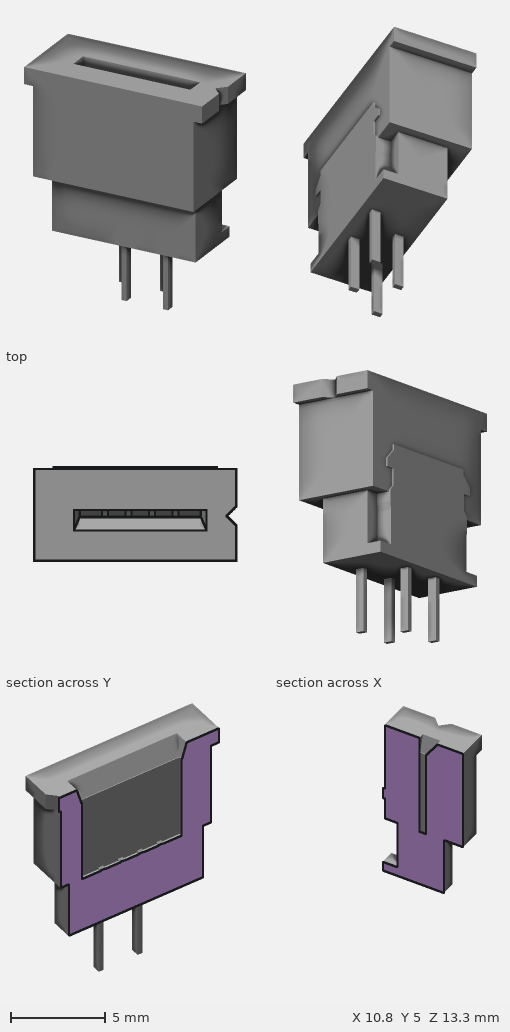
import cadquery as cq
import math


total_height = 13.3
cap_height = 1.0
body_bottom_z = 7.04
base_bottom_z = 3.5

housing_depth = 4.9
cap_width = 10.75
body_width = 9.71
base_width = 8.67
base_front_y = 1.2
back_y = 5.0

notch_y = 2.4
notch_half_width = 0.5
notch_depth = 0.5

plate_thickness = 0.88
foot_height = 0.61
upper_barb_inset = 0.61
upper_barb_slope = 0.59
upper_neck_inset = 1.17
lower_barb_inset = 0.88
lower_neck_inset = 0.93
lower_barb_taper_height = 0.44
plate_top_z = 9.7
upper_barb_top_z = 9.39
upper_barb_bottom_z = 8.35
lower_barb_top_z = 7.42
lower_barb_bottom_z = 6.5

contact_middle_x = 0.27
slot_back_y = 2.7
slot_width = 7.06
slot_depth_y = 1.09
funnel_height = 1.0
channel_ledge = 0.04
channel_width = 6.4
channel_depth_y = 0.35
channel_floor_z = body_bottom_z

contact_count = 4
contact_pitch = 1.25
contact_width = 0.3
pin_depth_y = 0.5
back_pin_y = 4.15
front_pin_y = 2.14
contact_gap = 0.04
contact_end_angle = math.radians(45)


def block(width, y_front, y_rear, z_low, z_high, x_middle=0.0):
    """Upright box centred on x_middle."""
    return (
        cq.Workplane("XY", origin=(x_middle, (y_front + y_rear) / 2, z_low))
        .rect(width, y_rear - y_front)
        .extrude(z_high - z_low)
    )


def make_housing():
    cap_bottom_z = total_height - cap_height
    cap = block(cap_width, 0, housing_depth, cap_bottom_z, total_height)
    body = block(body_width, 0, housing_depth, body_bottom_z, cap_bottom_z)
    base_rear_y = back_y - plate_thickness
    base = block(base_width, base_front_y, base_rear_y, base_bottom_z, body_bottom_z)
    foot = block(base_width, base_front_y, back_y, base_bottom_z, base_bottom_z + foot_height)
    return cap.union(body).union(base).union(foot)


def make_back_plate():
    """Plate with two barbs on each side, symmetric about X = 0."""
    upper_barb_x = base_width / 2 - upper_barb_inset
    lower_barb_x = base_width / 2 - lower_barb_inset
    upper_neck_x = base_width / 2 - upper_neck_inset
    lower_neck_x = base_width / 2 - lower_neck_inset
    top_x = upper_barb_x - upper_barb_slope
    right_side = [
        (lower_neck_x, base_bottom_z),
        (lower_neck_x, lower_barb_bottom_z - lower_barb_taper_height),
        (lower_barb_x, lower_barb_bottom_z),
        (lower_barb_x, lower_barb_top_z - (lower_barb_x - upper_neck_x)),
        (upper_neck_x, lower_barb_top_z),
        (upper_neck_x, upper_barb_bottom_z),
        (upper_barb_x, upper_barb_bottom_z),
        (upper_barb_x, upper_barb_top_z - upper_barb_slope),
        (top_x, upper_barb_top_z),
        (top_x, plate_top_z),
    ]
    left_side = [(-x, z) for x, z in reversed(right_side)]
    return (
        cq.Workplane("XZ", origin=(0, back_y, 0))
        .polyline(right_side + left_side)
        .close()
        .extrude(plate_thickness)
    )


def make_notch():
    rim_x = cap_width / 2
    return (
        cq.Workplane("XY", origin=(0, 0, total_height - cap_height))
        .moveTo(rim_x - notch_depth, notch_y)
        .lineTo(rim_x, notch_y + notch_half_width)
        .lineTo(rim_x, notch_y - notch_half_width)
        .close()
        .extrude(cap_height)
    )


def make_slot():
    mouth_middle_y = slot_back_y - slot_depth_y / 2
    funnel_end_width = channel_width + 2 * channel_ledge
    funnel_end_depth_y = channel_depth_y + channel_ledge
    funnel_end_middle_y = slot_back_y - funnel_end_depth_y / 2
    funnel = (
        cq.Workplane("XY", origin=(contact_middle_x, mouth_middle_y, total_height))
        .rect(slot_width, slot_depth_y)
        .workplane(offset=-funnel_height)
        .center(0, funnel_end_middle_y - mouth_middle_y)
        .rect(funnel_end_width, funnel_end_depth_y)
        .loft(ruled=True)
    )
    channel = block(
        channel_width,
        slot_back_y - channel_depth_y,
        slot_back_y,
        channel_floor_z,
        total_height - funnel_height,
        contact_middle_x,
    )
    return funnel.union(channel)


def make_contact(x_middle):
    """Curved ramp on the channel floor, rising towards the front wall."""
    start_y = slot_back_y - contact_gap
    front_wall_y = slot_back_y - channel_depth_y
    radius = (start_y - front_wall_y) / math.sin(contact_end_angle)
    half_angle = contact_end_angle / 2
    mid_z = channel_floor_z + radius * (1 - math.cos(half_angle))
    end_z = channel_floor_z + radius * (1 - math.cos(contact_end_angle))
    mid_point = (start_y - radius * math.sin(half_angle), mid_z)
    end_point = (front_wall_y, end_z)
    return (
        cq.Workplane("YZ", origin=(x_middle - contact_width / 2, 0, 0))
        .moveTo(start_y, channel_floor_z)
        .threePointArc(mid_point, end_point)
        .lineTo(front_wall_y, channel_floor_z)
        .close()
        .extrude(contact_width)
    )


def make_pin(x_middle, y_middle):
    half_depth = pin_depth_y / 2
    return block(contact_width, y_middle - half_depth, y_middle + half_depth, 0, base_bottom_z, x_middle)


result = make_housing().union(make_back_plate()).cut(make_notch()).cut(make_slot())

for index in range(contact_count):
    contact_x = contact_middle_x + (index - (contact_count - 1) / 2) * contact_pitch
    pin_y = back_pin_y if index % 2 == 0 else front_pin_y
    result = result.union(make_contact(contact_x)).union(make_pin(contact_x, pin_y))